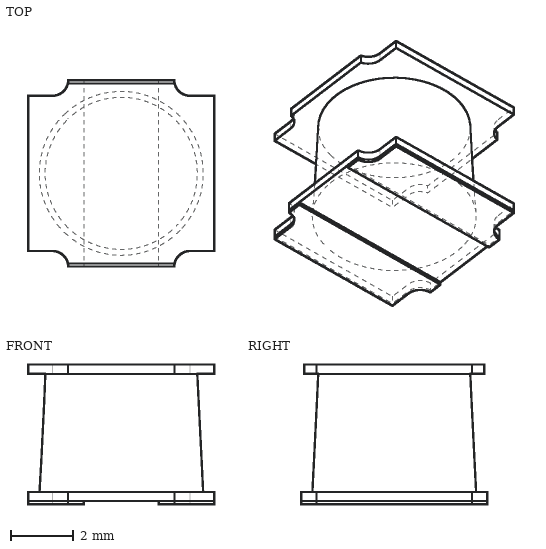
import cadquery as cq

side = 6.0
notch_radius = 0.5
notch_inset = 0.79
top_flange_trim = 0.1

total_height = 4.5
terminal_thickness = 0.1
flange_thickness = 0.3
bottom_flange_z = terminal_thickness
winding_z = bottom_flange_z + flange_thickness
top_flange_z = total_height - flange_thickness
winding_height = top_flange_z - winding_z

terminal_width = 1.8
winding_bottom_diameter = 5.28
winding_top_diameter = 4.9


def notched_plate(base_z, thickness, end_trim=0.0):
    """Square plate with a quarter-round notch beside each corner, shortened at both Y ends."""
    half = side / 2
    arc_center_x = half - notch_inset
    notch_y = half - notch_radius
    tab_length = side - 2 * end_trim
    bar = cq.Workplane("XY").box(side, 2 * notch_y, thickness, centered=(True, True, False))
    tab = cq.Workplane("XY").box(2 * arc_center_x, tab_length, thickness, centered=(True, True, False))
    corner_circles = (
        cq.Workplane("XY")
        .rect(2 * arc_center_x, side, forConstruction=True)
        .vertices()
        .circle(notch_radius)
        .extrude(thickness)
    )
    return bar.union(tab).cut(corner_circles).translate((0, 0, base_z))


def tapered_winding():
    """Round winding that narrows toward the top flange."""
    return (
        cq.Workplane("XY", origin=(0, 0, winding_z))
        .circle(winding_bottom_diameter / 2)
        .workplane(offset=winding_height)
        .circle(winding_top_diameter / 2)
        .loft(ruled=True)
    )


def terminal(x_side):
    """Contact strip under one X end of the bottom flange, following its notched outline."""
    strip = (
        cq.Workplane("XY")
        .box(terminal_width, side, terminal_thickness, centered=(True, True, False))
        .translate((x_side * (side - terminal_width) / 2, 0, 0))
    )
    return notched_plate(0, terminal_thickness).intersect(strip)


top_flange = notched_plate(top_flange_z, flange_thickness, top_flange_trim)
winding = tapered_winding()
bottom_flange = notched_plate(bottom_flange_z, flange_thickness)
terminals = [terminal(x_side) for x_side in (-1, 1)]

result = cq.Compound.makeCompound(
    [
        top_flange.val(),
        winding.val(),
        bottom_flange.val(),
        *[strip.val() for strip in terminals],
    ]
)